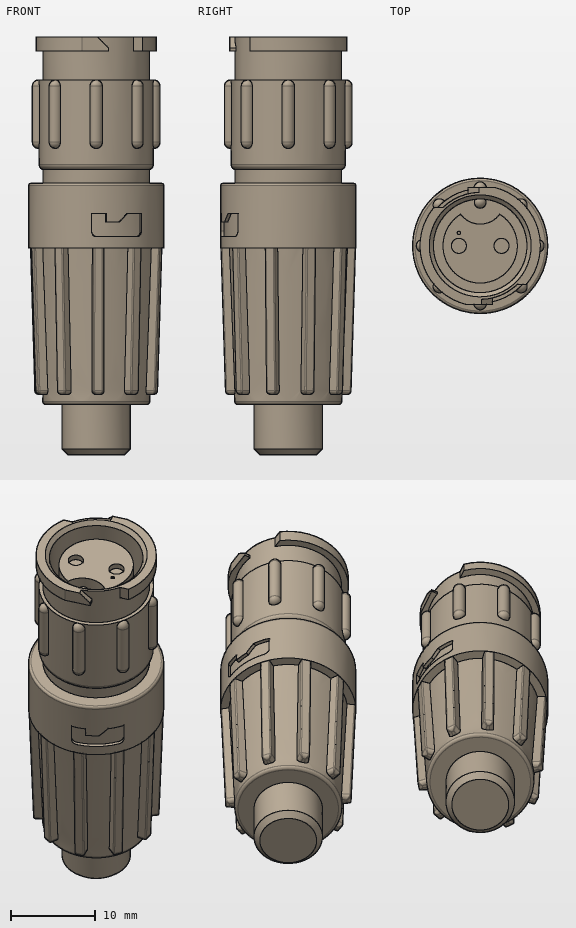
import cadquery as cq
import math

total_height = 49.4
grip_bottom = 5.95
collar_bottom = 24.45
collar_top = 32.1
ring_bottom = 33.7
ring_top = 44.35
flange_bottom = 47.75

tail_radius = 4.05
tail_chamfer = 0.7
neck_radius = 6.35
grip_top_radius = 7.0
grip_bottom_radius = neck_radius
grip_edge_round = 0.4
collar_radius = 8.0
collar_edge_round = 0.3
ring_radius = 6.75
ring_edge_round = 0.65
flange_radius = 7.1

flange_flat_y = 6.9
gap_wall_x = 1.45
gap_wall_y = 4.55
ramp_drop = 1.3

bar_count = 8
bar_radius = 0.75
bar_axis_radius = 6.8
bar_low_center = 36.95
bar_high_center = ring_top - bar_radius

rib_count = 10
rib_first_angle = -88.0
rib_bottom = 7.1
rib_top_radius = 7.95
rib_bottom_radius = 7.4
rib_outer_width = 1.15
rib_draft_angle = 8.0
rib_root_radius = 5.95
rib_end_round = 0.5
rib_edge_round = 0.15

recess_angle = -71.0
recess_floor_radius = 7.6
recess_half_width = 3.1
recess_bottom = 25.8
recess_top = 28.55
recess_tooth_bottom = 27.55
recess_tooth_left = -1.45
recess_tooth_tip = 0.15
recess_corner_round = 0.65

socket_radius = 5.55
socket_chamfer = 0.5
socket_floor = 42.0
insert_radius = 4.4
insert_top = 47.8
notch_center_y = 5.45
notch_radius = 2.85
pin_hole_x = 2.5
pin_hole_radius = 0.9
pin_hole_depth = 0.75
mark_y = 1.55
mark_radius = 0.2
mark_depth = 0.2
key_radius = 0.7
key_center_y = 5.15
key_dome_base = 47.9


def cylinder(radius, bottom, top, x=0, y=0):
    return cq.Workplane("XY", origin=(x, y, bottom)).circle(radius).extrude(top - bottom)


def box_between(x0, x1, y0, y1, z0, z1):
    return cq.Workplane("XY").box(x1 - x0, y1 - y0, z1 - z0, centered=False).translate((x0, y0, z0))


def sphere(radius, x, y, z):
    return cq.Workplane("XY", origin=(x, y, z)).sphere(radius)


def around_axis(shape, angle):
    return shape.rotate((0, 0, 0), (0, 0, 1), angle)


def make_body():
    tail = cylinder(tail_radius, 0, collar_bottom).faces("<Z").chamfer(tail_chamfer)
    grip = (
        cq.Workplane("XY", origin=(0, 0, grip_bottom))
        .circle(grip_bottom_radius)
        .workplane(offset=collar_bottom - grip_bottom)
        .circle(grip_top_radius)
        .loft()
        .faces("<Z")
        .edges()
        .fillet(grip_edge_round)
    )
    collar = cylinder(collar_radius, collar_bottom, collar_top).faces(">Z").edges().fillet(collar_edge_round)
    neck = cylinder(neck_radius, collar_bottom, total_height)
    ring = cylinder(ring_radius, ring_bottom, ring_top).faces("<Z").edges().fillet(ring_edge_round)
    return tail.union(grip).union(collar).union(neck).union(ring)


def make_flange():
    """Flange with two flats; its gap and ramp repeat half a turn away."""
    reach = 2 * flange_radius
    flange = cylinder(flange_radius, flange_bottom, total_height)
    flange = flange.intersect(
        box_between(-reach, reach, -flange_flat_y, flange_flat_y, flange_bottom, total_height)
    )
    gap = box_between(gap_wall_x, reach, -reach, -gap_wall_y, flange_bottom, total_height)
    ramp = (
        cq.Workplane("XZ")
        .moveTo(gap_wall_x - ramp_drop, total_height)
        .lineTo(gap_wall_x, total_height)
        .lineTo(gap_wall_x, total_height - ramp_drop)
        .close()
        .extrude(reach)
    )
    cut = gap.union(ramp)
    return flange.cut(cut).cut(around_axis(cut, 180))


def make_ring_bar():
    """Round bar with a ball at each end, half sunk in the ring."""
    bar = cylinder(bar_radius, bar_low_center, bar_high_center, x=bar_axis_radius)
    for height in (bar_low_center, bar_high_center):
        bar = bar.union(sphere(bar_radius, bar_axis_radius, 0, height))
    return bar


def rib_section(outer_radius):
    """Trapezoid across the rib, wider at its root."""
    outer_half = rib_outer_width / 2
    root_half = outer_half + (outer_radius - rib_root_radius) * math.tan(math.radians(rib_draft_angle))
    return [
        (rib_root_radius, -root_half),
        (outer_radius, -outer_half),
        (outer_radius, outer_half),
        (rib_root_radius, root_half),
    ]


def make_grip_rib():
    return (
        cq.Workplane("XY", origin=(0, 0, rib_bottom))
        .polyline(rib_section(rib_bottom_radius))
        .close()
        .workplane(offset=collar_bottom - rib_bottom)
        .polyline(rib_section(rib_top_radius))
        .close()
        .loft(ruled=True)
        .faces("<Z")
        .edges("not <X")
        .fillet(rib_end_round)
        .faces(">X")
        .edges("not |Y")
        .fillet(rib_edge_round)
    )


def make_collar_recess():
    """J outline, with a slanted tooth flank, sunk to a round floor."""
    slant = recess_top - recess_tooth_bottom
    outline = (
        cq.Workplane("YZ")
        .moveTo(-recess_half_width, recess_bottom)
        .lineTo(recess_half_width, recess_bottom)
        .lineTo(recess_half_width, recess_top)
        .lineTo(recess_tooth_tip + slant, recess_top)
        .lineTo(recess_tooth_tip, recess_tooth_bottom)
        .lineTo(recess_tooth_left, recess_tooth_bottom)
        .lineTo(recess_tooth_left, recess_top)
        .lineTo(-recess_half_width, recess_top)
        .close()
        .extrude(2 * collar_radius)
        .edges("|X and <Z")
        .fillet(recess_corner_round)
    )
    recess = outline.cut(cylinder(recess_floor_radius, collar_bottom, collar_top))
    return around_axis(recess, recess_angle)


def make_socket():
    socket = cylinder(socket_radius, socket_floor, total_height)
    lead_in = cq.Workplane("XY", origin=(0, 0, total_height - socket_chamfer)).circle(socket_radius)
    lead_in = lead_in.workplane(offset=socket_chamfer).circle(socket_radius + socket_chamfer).loft()
    return socket.union(lead_in)


def make_insert():
    insert = cylinder(insert_radius, socket_floor, insert_top)
    insert = insert.cut(cylinder(notch_radius, socket_floor, insert_top, y=notch_center_y))
    for x in (-pin_hole_x, pin_hole_x):
        insert = insert.cut(cylinder(pin_hole_radius, insert_top - pin_hole_depth, insert_top, x=x))
    return insert.cut(cylinder(mark_radius, insert_top - mark_depth, insert_top, x=-pin_hole_x, y=mark_y))


def make_key():
    """Domed key running up the socket wall."""
    shaft = cylinder(key_radius, socket_floor, key_dome_base, y=key_center_y)
    return shaft.union(sphere(key_radius, 0, key_center_y, key_dome_base))


result = make_body().union(make_flange())

ring_bar = make_ring_bar()
for i in range(bar_count):
    result = result.union(around_axis(ring_bar, i * 360 / bar_count))

grip_rib = make_grip_rib()
for i in range(rib_count):
    result = result.union(around_axis(grip_rib, rib_first_angle + i * 360 / rib_count))

collar_recess = make_collar_recess()
result = result.cut(collar_recess).cut(around_axis(collar_recess, 180))

result = result.cut(make_socket()).union(make_insert()).union(make_key())